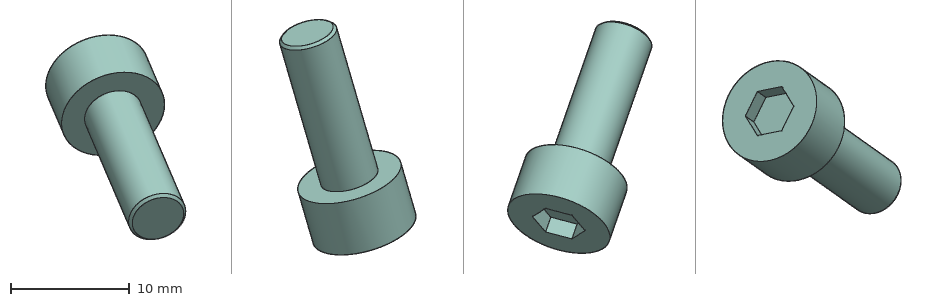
import cadquery as cq
import math

total_length = 19.0
head_diameter = 9.0
shank_diameter = 5.0
head_length = shank_diameter
tip_chamfer = 0.25

socket_across_flats = 4.0
socket_depth = 1.5
socket_across_corners = socket_across_flats / math.cos(math.pi / 6)

head = cq.Workplane("YZ").circle(head_diameter / 2).extrude(head_length)

shank = (
    cq.Workplane("YZ")
    .circle(shank_diameter / 2)
    .extrude(total_length)
    .faces(">X")
    .chamfer(tip_chamfer)
)

socket = cq.Workplane("YZ").polygon(6, socket_across_corners).extrude(socket_depth)

result = head.union(shank).cut(socket)